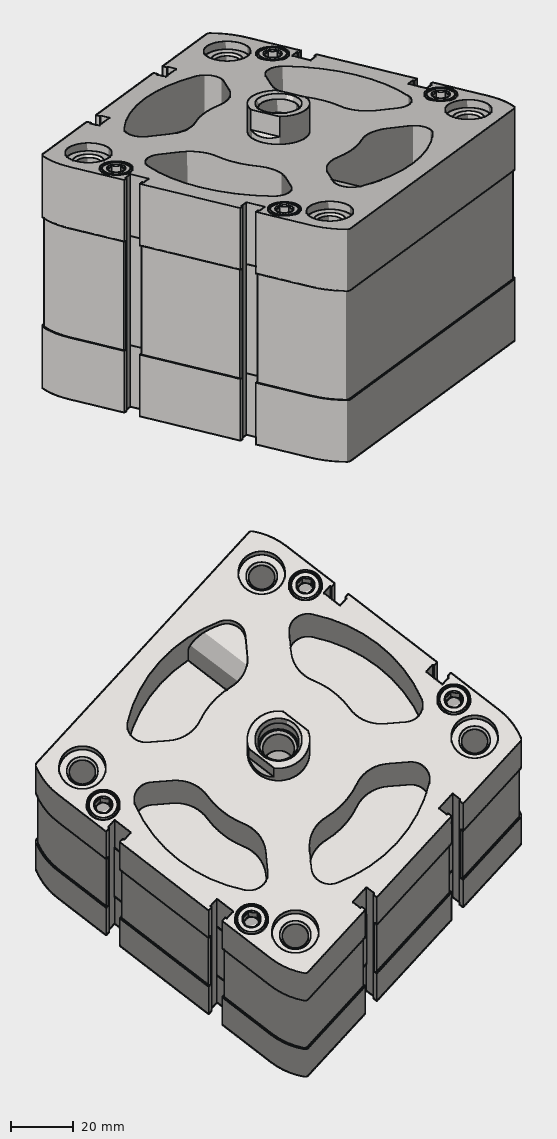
import cadquery as cq
import math

width = 113.5
half_width = width / 2
body_height = 82.0
rod_projection = 9.8
cap_height = 21.75
barrel_inset = 0.5

corner_start = 44.5
corner_radius = 24.0
corner_edge_radius = 1.3

slot_offset = 21.4
slot_mouth = 5.65
slot_width = 6.8
cap_slot_depth = 4.85
barrel_slot_depth = 4.7
slot_lip = 1.6
slot_mouth_chamfer = 0.5

pocket_depth = 18.0
pocket_outer_radius = 49.4
pocket_inner_radius = 27.4
pocket_outer_corner = 6.0
pocket_inner_corner = 12.0
pocket_rib = 14.0

port_boss_radius = 8.0
port_boss_y = -20.0
port_boss_z = body_height - cap_height / 2

mount_offset = 44.5
mount_hole_diameter = 8.38
mount_counterbore_diameter = 15.0
mount_counterbore_depth = 2.8
mount_chamfer_diameter = 10.0

screw_x = 31.0
screw_y = 50.2
screw_recess_diameter = 10.7
screw_head_diameter = 10.0
screw_rim_diameter = 9.0
screw_recess_depth = 3.0
socket_across_flats = 5.0
socket_chamfer_diameter = 6.0
socket_depth = 4.0
hexagon_turn = 30.0

rod_radius = 10.0
rod_top = body_height + rod_projection
rod_embedded_length = 30.0
rod_across_flats = 17.0
rod_flat_length = 7.1
rod_flat_run_out_angle = 30.0
rod_countersink_diameter = 15.0
rod_countersink_depth = 1.5
rod_recess_diameter = 13.0
rod_recess_depth = 6.2
rod_thread_diameter = 12.0
rod_core_diameter = 10.11
rod_core_depth = 20.0
drill_point_angle = 118.0

cutter_overrun = 1.0

sign_pairs = [(1, 1), (-1, 1), (-1, -1), (1, -1)]


def cone_height(base_radius):
    """Height of a drill point with the given base radius."""
    return base_radius / math.tan(math.radians(drill_point_angle / 2))


def revolved(profile):
    """Solid made by turning a radius-height profile about the Z axis."""
    return cq.Workplane("XZ").polyline(profile).close().revolve(360, (0, 0), (0, 1))


def body_section(inset, bottom, height):
    """Prism with the body outline, its sides moved inwards by the inset."""
    side = half_width - inset
    radius = corner_radius - inset
    center_y = half_width - corner_radius

    def arc_y(x):
        """Height of the corner arc above the X axis."""
        return center_y + math.sqrt(radius ** 2 - (x - corner_start) ** 2)

    middle_x = (corner_start + side) / 2
    middle_y = arc_y(middle_x)
    end_y = arc_y(side)
    outline = (
        cq.Workplane("XY", origin=(0, 0, bottom))
        .moveTo(-corner_start, side)
        .lineTo(corner_start, side)
        .threePointArc((middle_x, middle_y), (side, end_y))
        .lineTo(side, -end_y)
        .threePointArc((middle_x, -middle_y), (corner_start, -side))
        .lineTo(-corner_start, -side)
        .threePointArc((-middle_x, -middle_y), (-side, -end_y))
        .lineTo(-side, end_y)
        .threePointArc((-middle_x, middle_y), (-corner_start, side))
        .close()
    )
    block = outline.extrude(height)
    return block.edges("|Z").edges(">X or <X").fillet(corner_edge_radius)


def slot_cutter(depth, mouth_chamfer, side, bottom, height):
    """T-slot open towards +Y at X = 0, its mouth chamfered where it meets the side face."""
    mouth = slot_mouth / 2
    wide = slot_width / 2
    floor_y = half_width - depth
    lip_y = half_width - slot_lip
    right_half = [
        (wide, floor_y),
        (wide, lip_y),
        (mouth, lip_y),
        (mouth, side - mouth_chamfer),
        (mouth + mouth_chamfer, side),
        (mouth + mouth_chamfer, side + cutter_overrun),
    ]
    if mouth_chamfer == 0:
        right_half = right_half[:3] + [(mouth, side + cutter_overrun)]
    left_half = [(-x, y) for x, y in reversed(right_half)]
    return cq.Workplane("XY", origin=(0, 0, bottom)).polyline(right_half + left_half).close().extrude(height)


def cut_slots(section, depth, mouth_chamfer, side, bottom, height):
    """Two slots in each of the +Y, -X and -Y sides of a body section."""
    cutter = slot_cutter(depth, mouth_chamfer, side, bottom, height)
    for turn in (0, 90, 180):
        for offset in (-slot_offset, slot_offset):
            placed = cutter.translate((offset, 0, 0)).rotate((0, 0, 0), (0, 0, 1), turn)
            section = section.cut(placed)
    return section


def pocket_cutter():
    """Pocket on the +Y side: concentric arcs inside and outside, 45-degree flanks, rounded corners."""
    diagonal = math.sqrt(0.5)
    rib_shift = pocket_rib * diagonal

    def corner_center(distance, offset):
        """Point at the distance from the axis and at the offset inside the 45-degree flank."""
        shift = rib_shift + offset / diagonal
        x = (-shift + math.sqrt(2 * distance ** 2 - shift ** 2)) / 2
        return x, x + shift

    outer_distance = pocket_outer_radius - pocket_outer_corner
    inner_distance = pocket_inner_radius + pocket_inner_corner
    outer_x, outer_y = corner_center(outer_distance, pocket_outer_corner)
    inner_x, inner_y = corner_center(inner_distance, pocket_inner_corner)

    outer_scale = pocket_outer_radius / outer_distance
    inner_scale = pocket_inner_radius / inner_distance
    outer_tangent = (outer_x * outer_scale, outer_y * outer_scale)
    inner_tangent = (inner_x * inner_scale, inner_y * inner_scale)
    outer_flank = (outer_x + pocket_outer_corner * diagonal, outer_y - pocket_outer_corner * diagonal)
    inner_flank = (inner_x + pocket_inner_corner * diagonal, inner_y - pocket_inner_corner * diagonal)
    outer_side = (outer_x + pocket_outer_corner, outer_y)
    inner_low = (inner_x, inner_y - pocket_inner_corner)

    def mirrored(point):
        return -point[0], point[1]

    outline = (
        cq.Workplane("XY", origin=(0, 0, body_height - pocket_depth))
        .moveTo(*mirrored(outer_tangent))
        .threePointArc((0, pocket_outer_radius), outer_tangent)
        .threePointArc(outer_side, outer_flank)
        .lineTo(*inner_flank)
        .threePointArc(inner_low, inner_tangent)
        .threePointArc((0, pocket_inner_radius), mirrored(inner_tangent))
        .threePointArc(mirrored(inner_low), mirrored(inner_flank))
        .lineTo(*mirrored(outer_flank))
        .threePointArc(mirrored(outer_side), mirrored(outer_tangent))
        .close()
    )
    return outline.extrude(pocket_depth)


def port_boss():
    """Half-round boss along X, flat-topped towards -Y and filled down to the pocket floor."""
    floor_z = body_height - pocket_depth
    edge_y = port_boss_y + port_boss_radius
    top_z = port_boss_z + port_boss_radius
    outer_y = -corner_start
    profile = (
        cq.Workplane("YZ")
        .moveTo(outer_y, floor_z)
        .lineTo(edge_y, floor_z)
        .lineTo(edge_y, port_boss_z)
        .radiusArc((port_boss_y, top_z), -port_boss_radius)
        .lineTo(outer_y, top_z)
        .close()
    )
    return profile.extrude(half_width)


def cut_pockets(housing):
    """Four equal pockets, the +X one cut around the port boss."""
    pocket = pocket_cutter()
    for turn in (0, 90, 180):
        housing = housing.cut(pocket.rotate((0, 0, 0), (0, 0, 1), turn))
    port_pocket = pocket.rotate((0, 0, 0), (0, 0, 1), -90)
    return housing.cut(port_pocket.cut(port_boss()))


def mount_hole_cutter():
    """Through hole with a chamfered mouth at the floor of a counterbore."""
    hole = mount_hole_diameter / 2
    chamfer = mount_chamfer_diameter / 2
    counterbore = mount_counterbore_diameter / 2
    floor_z = body_height - mount_counterbore_depth
    return revolved([
        (0, 0),
        (hole, 0),
        (hole, floor_z - (chamfer - hole)),
        (chamfer, floor_z),
        (counterbore, floor_z),
        (counterbore, body_height),
        (0, body_height),
    ])


def screw_cutter():
    """Annular gap around a chamfered screw head, with a hexagon socket in the head."""
    recess = screw_recess_diameter / 2
    head = screw_head_diameter / 2
    rim = screw_rim_diameter / 2
    floor_z = body_height - screw_recess_depth
    gap = revolved([
        (recess, floor_z),
        (recess, body_height),
        (rim, body_height),
        (head, body_height - (head - rim)),
        (head, floor_z),
    ])

    inscribed = socket_across_flats / 2
    corner_diameter = socket_across_flats / math.cos(math.pi / 6)
    chamfer = socket_chamfer_diameter / 2
    socket_floor = body_height - socket_depth
    hexagon = (
        cq.Workplane("XY", origin=(0, 0, socket_floor))
        .transformed(rotate=(0, 0, hexagon_turn))
        .polygon(6, corner_diameter)
        .extrude(socket_depth)
    )
    point = revolved([
        (0, socket_floor - cone_height(inscribed)),
        (inscribed, socket_floor),
        (0, socket_floor),
    ])
    mouth = revolved([
        (0, body_height - chamfer),
        (chamfer, body_height),
        (0, body_height),
    ])
    return gap.union(hexagon.union(point).union(mouth))


def rod_blank(top):
    """Plain round of the rod, from its buried end up to the given height."""
    bottom = body_height - rod_embedded_length
    return cq.Workplane("XY", origin=(0, 0, bottom)).circle(rod_radius).extrude(top - bottom)


def make_cap(bottom):
    """End cap with its slots, standing at the given height."""
    return cut_slots(body_section(0, bottom, cap_height), cap_slot_depth, 0, half_width, bottom, cap_height)


def make_housing():
    """Two caps and a slightly smaller barrel as one solid, with all recesses and the bore for the rod."""
    barrel_height = body_height - 2 * cap_height
    barrel_side = half_width - barrel_inset

    bottom_cap = make_cap(0)
    barrel = cut_slots(
        body_section(barrel_inset, cap_height, barrel_height),
        barrel_slot_depth, slot_mouth_chamfer, barrel_side, cap_height, barrel_height,
    )
    top_cap = make_cap(body_height - cap_height)
    housing = cut_pockets(bottom_cap.union(barrel).union(top_cap))

    mount_hole = mount_hole_cutter()
    screw = screw_cutter()
    for sign_x, sign_y in sign_pairs:
        housing = housing.cut(mount_hole.translate((sign_x * mount_offset, sign_y * mount_offset, 0)))
        housing = housing.cut(screw.translate((sign_x * screw_x, sign_y * screw_y, 0)))
    return housing.cut(rod_blank(body_height))


def rod_flat_cutter():
    """Wrench flat on the +Y side, its lower end sloping outwards and down."""
    flat_y = rod_across_flats / 2
    flat_bottom = rod_top - rod_flat_length
    outer_y = rod_radius + cutter_overrun
    drop = (outer_y - flat_y) * math.tan(math.radians(rod_flat_run_out_angle))
    profile = [
        (flat_y, rod_top),
        (flat_y, flat_bottom),
        (outer_y, flat_bottom - drop),
        (outer_y, rod_top),
    ]
    return cq.Workplane("YZ").polyline(profile).close().extrude(rod_radius, both=True)


def rod_bore_cutter():
    """Stepped blind hole in the rod end: countersink, recess, thread entry and thread core."""
    countersink = rod_countersink_diameter / 2
    recess = rod_recess_diameter / 2
    thread = rod_thread_diameter / 2
    core = rod_core_diameter / 2
    recess_floor = rod_top - rod_recess_depth
    core_floor = rod_top - rod_core_depth
    return revolved([
        (0, core_floor - cone_height(core)),
        (core, core_floor),
        (core, recess_floor - (thread - core)),
        (thread, recess_floor),
        (recess, recess_floor),
        (recess, rod_top - rod_countersink_depth),
        (countersink, rod_top),
        (0, rod_top),
    ])


def make_piston_rod():
    """Round rod with two opposite wrench flats and a stepped bore."""
    flat = rod_flat_cutter()
    rod = rod_blank(rod_top).cut(flat).cut(flat.mirror("XZ"))
    return rod.cut(rod_bore_cutter())


housing = make_housing()
piston_rod = make_piston_rod()

result = cq.Compound.makeCompound([housing.solids().val(), piston_rod.solids().val()])